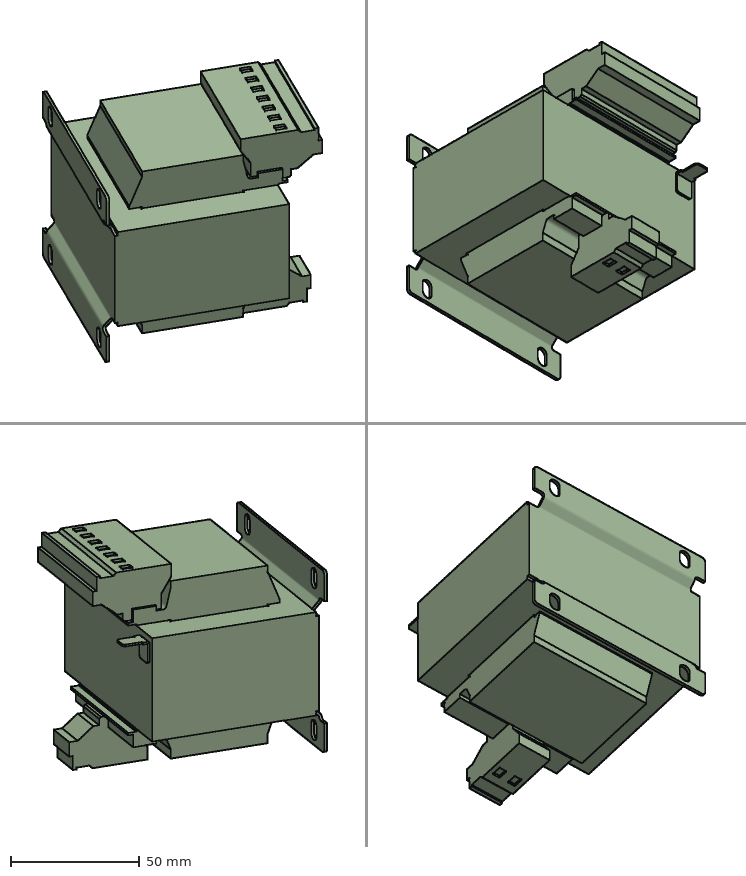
import cadquery as cq
import math


core_width = 84.0
core_stack = 43.2
core_front = 4.65
leg_width = core_width / 6
window_length = 3 * leg_width
core_back = core_front + window_length + 2 * leg_width
window_front = core_front + leg_width
window_back = window_front + window_length

coil_clearance = 0.4
coil_half_width = 2 * leg_width - coil_clearance
coil_front = window_front + coil_clearance
coil_back = window_back - coil_clearance

cover_base = core_stack / 2 + coil_clearance
upper_cover_top = 38.2
upper_cover_shoulder = 35.7
upper_cover_foot = 13.8
upper_cover_toe = 23.2
lower_cover_top = 36.0
lower_cover_shoulder = 32.3
lower_cover_foot = 15.35
lower_cover_toe = 22.5
lip_end = 78.5
lip_bottom = 22.4
lip_top = 23.45
lip_slope = 0.5

rail_back = 76.4
rail_front = 66.4
rail_top = 28.75
shelf_height = 26.8
shelf_front = 62.4
shelf_radius = 1.7

terminal_pitch = 7.5
upper_terminals = 7
lower_terminals = 2
lower_terminal_centre = terminal_pitch / 2
terminal_back = 93.05
terminal_front = 59.6
terminal_top = 44.85
terminal_bottom = 23.9
entry_pitch = 7.4
entry_width = 3.35
entry_length = 4.4
entry_centre = 77.0
entry_depth = 1.1

plate_thickness = 1.2
plate_offset = core_front - plate_thickness
foot_end = 38.0
foot_inner_end = 25.5
foot_corner_radius = 1.8
bend_inner_radius = 1.1
bend_outer_radius = bend_inner_radius + plate_thickness
bend_angle = math.radians(45)
bend_start = 20.4
plate_half_height = 19.9
neck_half_width = 37.1
neck_corner_radius = 1.4
slot_spacing = 63.9
slot_height = 31.7
slot_width = 4.9
slot_length = 8.4

tab_centre = -35.5
tab_thickness = 0.8
tab_top = 19.4
tab_bottom = 10.1
tab_base_width = 8.1
tab_base_end = 77.7
tab_blade_width = 6.4
tab_end = 85.6
tab_tip_chamfer = 0.8
tab_bend_radius = tab_thickness


def box(x_range, y_range, z_range):
    size = [high - low for low, high in (x_range, y_range, z_range)]
    corner = (x_range[0], y_range[0], z_range[0])
    return cq.Workplane("XY").box(*size, centered=False).translate(corner)


def side_extrusion(points, width, centre=0):
    """Extrude a (Y, Z) outline along X, centred on the given X."""
    profile = cq.Workplane("YZ").polyline(points).close()
    return profile.extrude(width / 2, both=True).translate((centre, 0, 0))


def flip(solid):
    """Turn an upper feature into the matching lower one."""
    return solid.mirror("XY")


def make_core():
    half_stack = core_stack / 2
    core = box((-core_width / 2, core_width / 2), (core_front, core_back), (-half_stack, half_stack))
    for side in (-1, 1):
        window = cq.Workplane("XY").box(leg_width, window_length, core_stack)
        core = core.cut(window.translate((side * 1.5 * leg_width, (window_front + window_back) / 2, 0)))
    return core


def make_coil():
    return box((-coil_half_width, coil_half_width), (coil_front, coil_back), (-cover_base, cover_base))


def make_cover(top, shoulder, foot, toe):
    """Cover above the core, with a sloped front and the terminal rail behind."""
    points = [
        (foot, cover_base),
        (foot, toe),
        (coil_front, shoulder),
        (coil_front, top),
        (coil_back, top),
        (coil_back, shoulder),
        (shelf_front, shelf_height),
        (rail_front, shelf_height),
        (rail_front, rail_top),
        (rail_back, rail_top),
        (rail_back, lip_top),
        (lip_end, lip_top),
        (lip_end, lip_bottom),
        (core_back + lip_slope, lip_bottom),
        (core_back, cover_base),
    ]
    cover = side_extrusion(points, 2 * coil_half_width)
    shelf_corner = cq.selectors.NearestToPointSelector((0, shelf_front, shelf_height))
    return cover.edges(shelf_corner).fillet(shelf_radius)


def make_terminals(count, centre):
    """A row of terminals clipped over the rail, each with a wire entry on top."""
    points = [
        (terminal_front, terminal_top),
        (83.1, terminal_top),
        (84.3, 43.55),
        (89.9, 43.55),
        (89.9, 44.3),
        (91.5, 44.3),
        (91.5, 38.4),
        (terminal_back, 38.4),
        (terminal_back, 32.4),
        (89.4, 32.4),
        (82.8, 27.3),
        (80.3, 27.3),
        (80.3, 24.7),
        (79.6, terminal_bottom),
        (rail_back, terminal_bottom),
        (rail_back, rail_top),
        (rail_front, rail_top),
        (rail_front, shelf_height),
        (63.7, shelf_height),
        (63.7, 33.1),
        (terminal_front, 39.45),
    ]
    terminals = side_extrusion(points, count * terminal_pitch, centre)
    entries = (
        cq.Workplane("XY", origin=(centre, entry_centre, terminal_top))
        .rarray(entry_pitch, 0.9, count, 1)
        .rect(entry_width, entry_length)
        .extrude(-entry_depth)
    )
    return terminals.cut(entries)


def make_foot():
    """Upper half of the mounting plate: bent strip, neck and slotted foot."""
    rise = plate_offset / math.tan(bend_angle)
    inner_shift = plate_thickness * math.tan(bend_angle / 2)
    bend_end = bend_start + rise
    points = [
        (plate_offset, 0),
        (plate_offset, bend_start),
        (0, bend_end),
        (0, foot_end),
        (plate_thickness, foot_end),
        (plate_thickness, bend_end + inner_shift),
        (core_front, bend_start + inner_shift),
        (core_front, 0),
    ]
    strip = side_extrusion(points, core_width)
    bends = [
        ((plate_offset, bend_start), bend_inner_radius),
        ((0, bend_end), bend_outer_radius),
        ((plate_thickness, bend_end + inner_shift), bend_inner_radius),
        ((core_front, bend_start + inner_shift), bend_outer_radius),
    ]
    for (y, z), radius in bends:
        strip = strip.edges(cq.selectors.NearestToPointSelector((0, y, z))).fillet(radius)
    strip = strip.edges("|Y and >Z").fillet(foot_corner_radius)

    notch_centre = (plate_half_height + foot_inner_end) / 2
    notch_height = foot_inner_end - plate_half_height
    notch_depth = core_width / 2 - neck_half_width
    for side in (-1, 1):
        notch = cq.Workplane("XY").box(2 * notch_depth, 2 * core_front, notch_height)
        inner_edges = "|Y and <X" if side > 0 else "|Y and >X"
        notch = notch.edges(inner_edges).fillet(neck_corner_radius)
        strip = strip.cut(notch.translate((side * core_width / 2, core_front, notch_centre)))
    slots = (
        cq.Workplane("XZ", origin=(0, 0, slot_height))
        .rarray(slot_spacing, 0.9, 2, 1)
        .slot2D(slot_length, slot_width, 90)
        .extrude(-plate_thickness)
    )
    return strip.cut(slots)


def make_earth_tab():
    """Angle bracket on the back of the core, with a push-on blade."""
    half_base = tab_base_width / 2
    half_blade = tab_blade_width / 2
    tab_underside = tab_top - tab_thickness
    leg = box((-half_base, half_base), (core_back, core_back + tab_thickness), (tab_bottom, tab_top))
    leg = leg.edges("|Y and <Z").chamfer(tab_tip_chamfer)
    base = box((-half_base, half_base), (core_back, tab_base_end), (tab_underside, tab_top))
    blade = box((-half_blade, half_blade), (core_back, tab_end), (tab_underside, tab_top))
    blade = blade.edges("|Z and >Y").chamfer(tab_tip_chamfer)
    tab = leg.union(base).union(blade)
    tab = tab.edges("|X and <Y and >Z").fillet(tab_bend_radius)
    return tab.translate((tab_centre, 0, 0))


foot = make_foot()
upper_cover = make_cover(upper_cover_top, upper_cover_shoulder, upper_cover_foot, upper_cover_toe)
lower_cover = make_cover(lower_cover_top, lower_cover_shoulder, lower_cover_foot, lower_cover_toe)

result = (
    make_core()
    .union(make_coil())
    .union(upper_cover)
    .union(flip(lower_cover))
    .union(make_terminals(upper_terminals, 0))
    .union(flip(make_terminals(lower_terminals, lower_terminal_centre)))
    .union(foot)
    .union(flip(foot))
    .union(make_earth_tab())
)